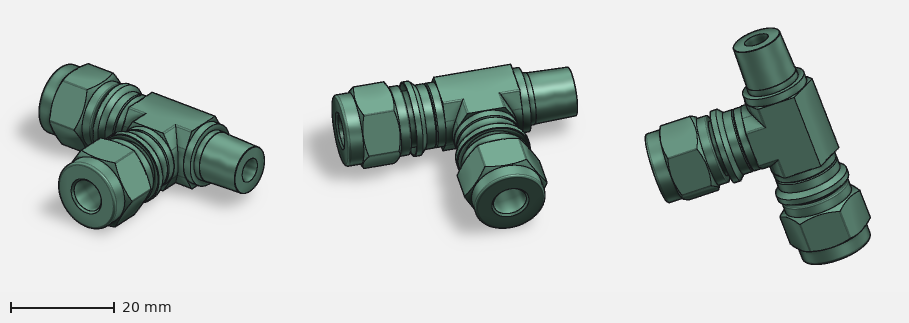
import cadquery as cq
import math


body_flats = 12.85
body_half_length = 7.65
body_edge_fillet = 0.35
body_corner_fillet = 6.4

shank_diameter = 12.6
groove_at = 9.4
groove_depth = 0.25
flange_diameter = 14.6
flange_inner_at = 12.45
flange_outer_at = 13.65
flange_recess_diameter = 14.1
flange_recess_depth = 0.9
neck_diameter = 11.05

nut_collar_diameter = 13.6
nut_collar_at = 14.6
nut_collar_fillet = 0.25
nut_hex_flats = 14.25
nut_hex_edge_fillet = 0.25
nut_hex_inner_at = 16.6
nut_hex_outer_at = 24.12
nut_hex_chamfer_angle = 30.0
nut_nose_diameter = 14.0
nut_nose_fillet = 0.45
arm_length = 27.15

bore_diameter = 4.85
socket_diameter = 6.55
socket_depth = 15.2
socket_mouth_chamfer = 0.4
run_wall_diameter = 6.55

overall_length = 46.05
male_length = overall_length - arm_length
male_shoulder_at = 9.25
male_neck_diameter = 10.25
taper_at = 10.55
taper_diameter = 10.1
taper_ratio = 1 / 16
male_tip_chamfer = 0.1


def revolve_about_z(points):
    """Solid of revolution about Z from (radius, height) points."""
    return cq.Workplane("XZ").polyline(points).close().revolve(360, (0, 0, 0), (0, 1, 0))


def disc(diameter, start, end):
    """Cylinder on Z from one height to another."""
    return cq.Workplane("XY").workplane(offset=start).circle(diameter / 2).extrude(end - start)


def hex_corner(flats):
    """Centre-to-corner distance of a hexagon."""
    return flats / 2 / math.cos(math.radians(30))


def nut_hex():
    """Hexagon of a nut, its corners turned down by a cone at both ends."""
    corner = hex_corner(nut_hex_flats)
    slope = math.tan(math.radians(nut_hex_chamfer_angle))
    inner_radius = nut_collar_diameter / 2
    outer_radius = nut_nose_diameter / 2
    envelope = revolve_about_z([
        (0, nut_hex_inner_at),
        (inner_radius, nut_hex_inner_at),
        (corner, nut_hex_inner_at + (corner - inner_radius) * slope),
        (corner, nut_hex_outer_at - (corner - outer_radius) * slope),
        (outer_radius, nut_hex_outer_at),
        (0, nut_hex_outer_at),
    ])
    prism = (
        cq.Workplane("XY").workplane(offset=nut_hex_inner_at)
        .polygon(6, 2 * corner).extrude(nut_hex_outer_at - nut_hex_inner_at)
        .edges("|Z").fillet(nut_hex_edge_fillet)
    )
    return prism.intersect(envelope)


def shank():
    """Grooved shank, flange with a conical back and a dished front, and the neck inside the dish."""
    shank_radius = shank_diameter / 2
    flange_radius = flange_diameter / 2
    return revolve_about_z([
        (0, 0),
        (shank_radius, 0),
        (shank_radius, groove_at - groove_depth),
        (shank_radius - groove_depth, groove_at),
        (shank_radius, groove_at + groove_depth),
        (shank_radius, flange_inner_at - (flange_radius - shank_radius)),
        (flange_radius, flange_inner_at),
        (flange_radius, flange_outer_at),
        (flange_recess_diameter / 2, flange_outer_at),
        (neck_diameter / 2, flange_outer_at - flange_recess_depth),
        (neck_diameter / 2, nut_collar_at),
        (0, nut_collar_at),
    ])


def tube_arm():
    """Shank and nut of one compression end, pointing to +Z."""
    collar = disc(nut_collar_diameter, nut_collar_at, nut_hex_inner_at)
    nose = disc(nut_nose_diameter, nut_hex_outer_at, arm_length)
    return (
        shank()
        .union(collar.faces("<Z").edges().fillet(nut_collar_fillet))
        .union(nut_hex())
        .union(nose.faces(">Z").edges().fillet(nut_nose_fillet))
    )


def tube_passage():
    """Bore, socket and mouth chamfer to cut from one compression end, pointing to +Z."""
    mouth_radius = socket_diameter / 2 + socket_mouth_chamfer
    mouth = revolve_about_z([
        (0, arm_length),
        (mouth_radius, arm_length),
        (mouth_radius - socket_mouth_chamfer, arm_length - socket_mouth_chamfer),
        (0, arm_length - socket_mouth_chamfer),
    ])
    return (
        disc(bore_diameter, 0, arm_length)
        .union(disc(socket_diameter, arm_length - socket_depth, arm_length))
        .union(mouth)
    )


def male_arm():
    """Stub with a tapered end, pointing to +Z."""
    taper_radius = taper_diameter / 2
    tip_radius = taper_radius - (male_length - taper_at) * taper_ratio / 2
    taper = revolve_about_z([
        (0, taper_at),
        (taper_radius, taper_at),
        (tip_radius, male_length),
        (0, male_length),
    ])
    return (
        disc(shank_diameter, 0, male_shoulder_at)
        .union(disc(male_neck_diameter, male_shoulder_at, taper_at))
        .union(taper.faces(">Z").edges().chamfer(male_tip_chamfer))
    )


def to_run_left(solid):
    """Turn a +Z arm to -X, keeping a pair of hexagon flats level."""
    return solid.rotate((0, 0, 0), (0, 0, 1), 90).rotate((0, 0, 0), (0, 1, 0), -90)


def to_run_right(solid):
    """Turn a +Z arm to +X."""
    return solid.rotate((0, 0, 0), (0, 1, 0), 90)


def to_branch(solid):
    """Turn a +Z arm to -Y."""
    return solid.rotate((0, 0, 0), (1, 0, 0), 90)


def body():
    """Tee of two hexagonal bars; only the run's corner at +Y stays sharp."""
    corner = hex_corner(body_flats)
    run = (
        cq.Workplane("YZ").workplane(offset=-body_half_length)
        .polygon(6, 2 * corner).extrude(2 * body_half_length)
        .edges("|X and <Y").fillet(body_corner_fillet)
        .edges("|X and (>Z or <Z)").edges("<Y").fillet(body_edge_fillet)
    )
    branch = (
        cq.Workplane("XZ").polygon(6, 2 * corner).extrude(body_half_length)
        .edges("|Y and (<X or >X)").fillet(body_corner_fillet)
        .edges("|Y and (>Z or <Z)").fillet(body_edge_fillet)
    )
    return run.union(branch)


run_wall = to_run_right(disc(run_wall_diameter, -body_half_length, body_half_length))

result = (
    body()
    .union(to_run_left(tube_arm()))
    .union(to_branch(tube_arm()))
    .union(to_run_right(male_arm()))
    .cut(to_run_left(tube_passage()))
    .cut(to_branch(tube_passage()).cut(run_wall))
    .cut(to_run_right(disc(bore_diameter, 0, male_length)))
)